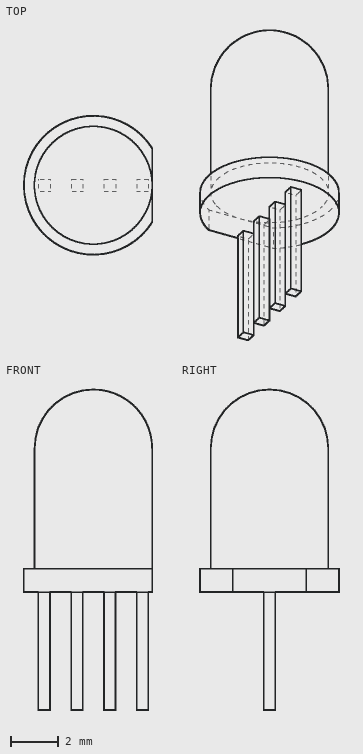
import cadquery as cq

lens_diameter = 5.0
lens_radius = lens_diameter / 2
body_height = 6.1

flange_diameter = 5.9
flange_thickness = 1.0
flat_x = lens_radius

lead_count = 4
lead_width = 0.5
lead_length = 5.0
lead_pitch = 1.39


def make_lens():
    """Revolve the half profile of the domed lens about the Z axis."""
    dome_top = body_height + lens_radius
    return (
        cq.Workplane("XZ")
        .lineTo(lens_radius, 0)
        .lineTo(lens_radius, body_height)
        .radiusArc((0, dome_top), -lens_radius)
        .close()
        .revolve(360, (0, 0), (0, 1))
    )


def make_flange():
    """Round flange cut off along a plane normal to X."""
    disc = cq.Workplane("XY").circle(flange_diameter / 2).extrude(flange_thickness)
    beyond_flat = (
        cq.Workplane("XY")
        .center(flat_x + flange_diameter / 2, 0)
        .rect(flange_diameter, flange_diameter)
        .extrude(flange_thickness)
    )
    return disc.cut(beyond_flat)


def make_leads():
    """Row of square leads hanging from the flange underside."""
    return (
        cq.Workplane("XY")
        .rarray(lead_pitch, 1, lead_count, 1)
        .rect(lead_width, lead_width)
        .extrude(-lead_length)
    )


result = make_flange().union(make_lens()).union(make_leads())